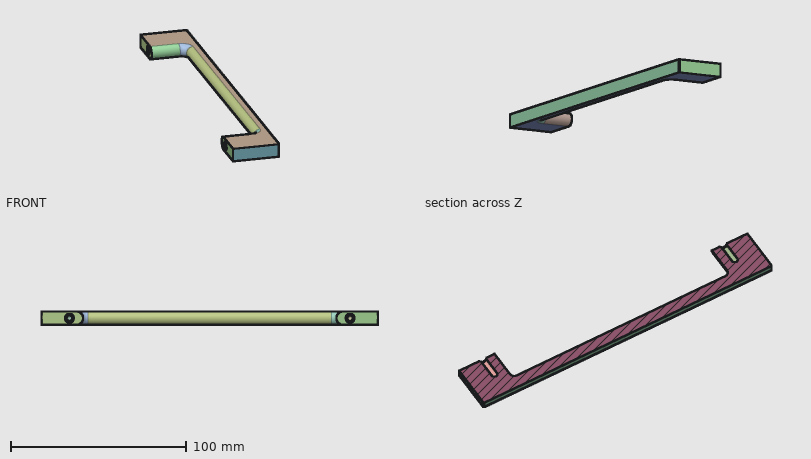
import cadquery as cq
import math

length = 192.0
depth = 27.5
height = 7.7
corner_chamfer = 0.5

grip_width = 7.7
foot_width = 23.8
inner_corner_radius = 2.9
nose_radius = height / 2

hole_spacing = 160.0
hole_radius = 3.3 / 2
hole_depth = 13.5
drill_tip_angle = 118
countersink_radius = 5.0 / 2
countersink_angle = 90

wall_y = -depth / 2
rim_x = length / 2 - foot_width + nose_radius
rim_y = depth / 2 - grip_width + nose_radius
bend_radius = inner_corner_radius + nose_radius


def rim_path():
    """Open U running up one foot, along the grip and down the other foot."""
    bend_offset = bend_radius * (1 - math.sqrt(0.5))
    return (
        cq.Workplane("XY")
        .moveTo(-rim_x, wall_y)
        .lineTo(-rim_x, rim_y - bend_radius)
        .threePointArc((-rim_x + bend_offset, rim_y - bend_offset), (-rim_x + bend_radius, rim_y))
        .lineTo(rim_x - bend_radius, rim_y)
        .threePointArc((rim_x - bend_offset, rim_y - bend_offset), (rim_x, rim_y - bend_radius))
        .lineTo(rim_x, wall_y)
    )


def flat_body():
    """Plate with chamfered outer corners, cut away inside the rim centreline."""
    plate = cq.Workplane("XY").box(length, depth, height)
    plate = plate.edges("|Z and >Y").chamfer(corner_chamfer)
    opening = rim_path().close().extrude(height / 2, both=True)
    return plate.cut(opening)


def round_rim():
    """Round bar along the rim path; its inner half forms the nose."""
    return cq.Workplane("XZ", origin=(-rim_x, wall_y, 0)).circle(nose_radius).sweep(rim_path())


def mounting_hole(x):
    """Cutter for a countersunk blind hole with a conical drill tip."""
    countersink_depth = (countersink_radius - hole_radius) / math.tan(math.radians(countersink_angle / 2))
    tip_depth = hole_radius / math.tan(math.radians(drill_tip_angle / 2))
    return (
        cq.Workplane("XY", origin=(x, wall_y, 0))
        .lineTo(countersink_radius, 0)
        .lineTo(hole_radius, countersink_depth)
        .lineTo(hole_radius, hole_depth)
        .lineTo(0, hole_depth + tip_depth)
        .close()
        .revolve(360, (0, 0), (0, 1))
    )


result = flat_body().union(round_rim())
for side in (-1, 1):
    result = result.cut(mounting_hole(side * hole_spacing / 2))